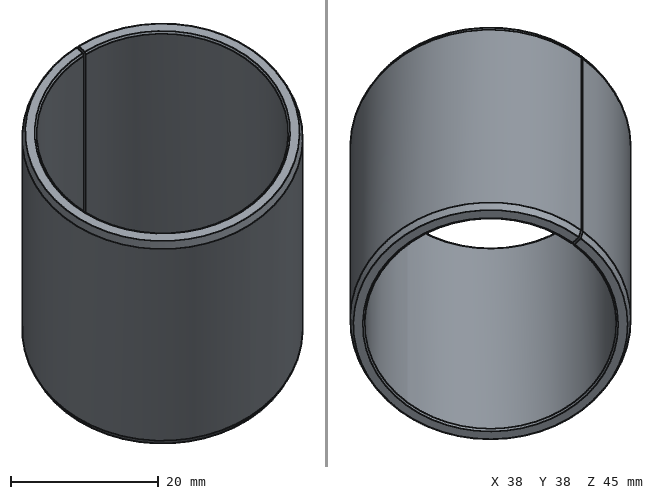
import cadquery as cq

length = 45.0
outer_diameter = 38.0
wall = 2.0
outer_chamfer_height = 1.2
outer_chamfer_depth = 0.435
inner_chamfer = 0.25
seam_width = 0.338

outer_radius = outer_diameter / 2
inner_radius = outer_radius - wall
half_length = length / 2


def bushing_body():
    """Revolve the wall section, chamfered at both ends, about Z."""
    rim_radius = outer_radius - outer_chamfer_depth
    outer_edge_z = half_length - outer_chamfer_height
    inner_edge_z = half_length - inner_chamfer
    section = [
        (inner_radius, -inner_edge_z),
        (inner_radius + inner_chamfer, -half_length),
        (rim_radius, -half_length),
        (outer_radius, -outer_edge_z),
        (outer_radius, outer_edge_z),
        (rim_radius, half_length),
        (inner_radius + inner_chamfer, half_length),
        (inner_radius, inner_edge_z),
    ]
    return cq.Workplane("XZ").polyline(section).close().revolve(360, (0, 0), (0, 1))


def seam_cutter():
    """Thin full-length slab that splits the -X wall, with one face on the XZ plane."""
    slab = cq.Workplane("XY").box(outer_radius, seam_width, length)
    return slab.translate((-outer_radius, seam_width / 2, 0))


result = bushing_body().cut(seam_cutter())